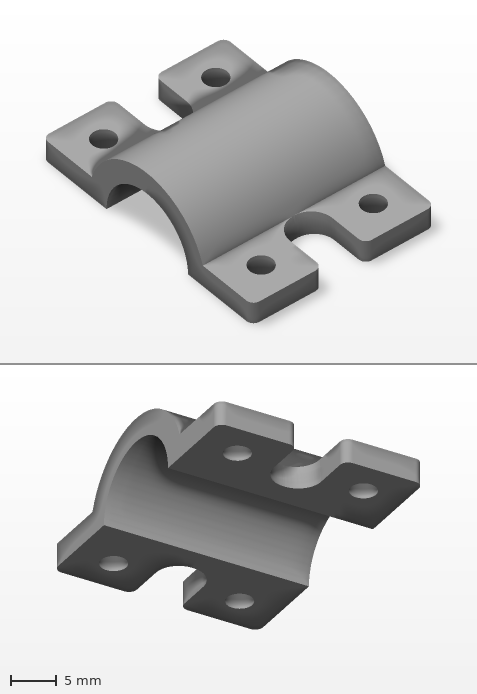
import cadquery as cq

length = 36.15
width = 26.0
bore_radius = 7.0
flange_thickness = 3.0
outer_radius = bore_radius + flange_thickness
corner_radius = 1.0

hole_diameter = 3.2
hole_spacing_x = 27.1
hole_spacing_y = 15.98

notch_width = 6.0
notch_fillet_radius = 2.9


def cylinder_along_y(radius):
    """Cylinder on the clamp axis, as long as the part is wide."""
    return cq.Workplane("XZ", origin=(0, width / 2, 0)).circle(radius).extrude(width)


def flange_plate():
    """Plate cut by the two notches, with every outer corner rounded."""
    plate = cq.Workplane("XY").rect(length, width).extrude(flange_thickness)
    slot = cq.Workplane("XY").rect(length, notch_width).extrude(flange_thickness)
    return plate.cut(slot).edges("|Z").edges("<X or >X").fillet(corner_radius)


def saddle(height):
    """Part of the solid saddle cylinder from the bottom plane up to a height."""
    slab = cq.Workplane("XY").box(length, width, height, centered=(True, True, False))
    return cylinder_along_y(outer_radius).intersect(slab)


def round_notch_ends(base):
    """Fillet the four edges where the notch walls meet the saddle."""
    margin = 0.05
    edge_finder = cq.selectors.BoxSelector(
        (-outer_radius, -notch_width / 2 - margin, margin),
        (outer_radius, notch_width / 2 + margin, flange_thickness - margin),
    )
    return base.edges(edge_finder).fillet(notch_fillet_radius)


def screw_holes():
    """Four cutters through the flanges."""
    return (
        cq.Workplane("XY")
        .rect(hole_spacing_x, hole_spacing_y, forConstruction=True)
        .vertices()
        .circle(hole_diameter / 2)
        .extrude(flange_thickness)
    )


base = round_notch_ends(flange_plate().union(saddle(flange_thickness)))
body = base.union(saddle(outer_radius)).clean()
result = body.cut(cylinder_along_y(bore_radius)).cut(screw_holes())